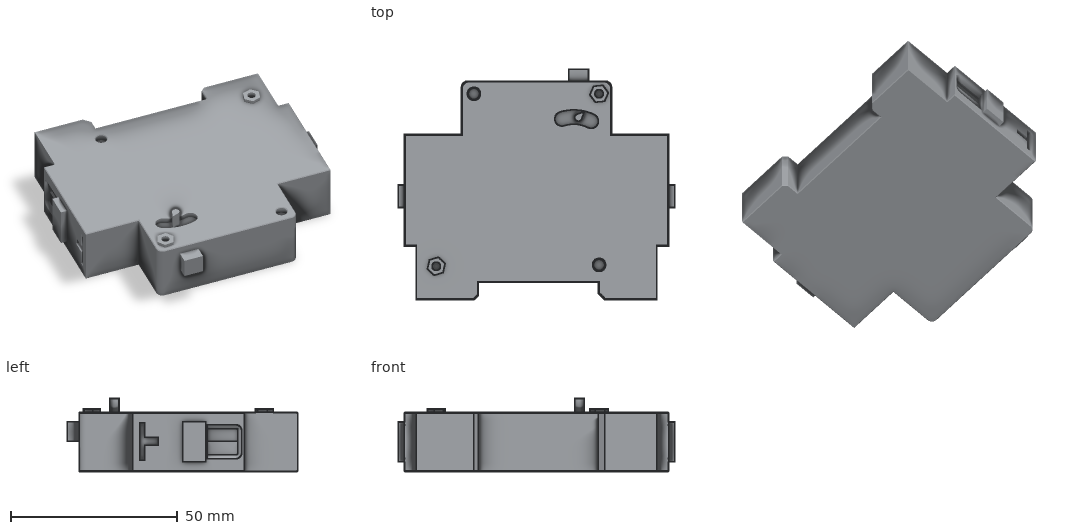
import cadquery as cq
import math

HOUSING_HEIGHT = 17.8
HOUSING_HALF_WIDTH = 39.6
HOUSING_TOP_Y = 65.6
NECK_HALF_WIDTH = 22.5
NECK_CORNER_RADIUS = 2.0
SHOULDER_Y = 49.55
LEG_TOP_Y = 16.1
LEG_HALF_WIDTH = 36.1
RAIL_NOTCH_DEPTH = 5.2
RAIL_NOTCH_LEFT = -17.4
RAIL_NOTCH_RIGHT = 18.5
LEFT_LEG_CHAMFER = 1.3
RIGHT_LEG_CHAMFER = 2.0
EDGE_CHAMFER = 0.25

RIVET_X = 18.75
NECK_RIVET_Y = 61.75
RIVET_CENTERS = [(-RIVET_X, NECK_RIVET_Y), (RIVET_X, 10.45)]
RIVET_HOLE_DIAMETER = 3.4
RIVET_HOLE_DEPTH = 2.1
RIVET_HOLE_CHAMFER = 0.25
NUTS = [((RIVET_X, NECK_RIVET_Y), 6.0), ((-30.05, 10.05), 17.0)]
NUT_ACROSS_CORNERS = 5.6
NUT_HEIGHT = 1.1
NUT_HOLE_DIAMETER = 2.5
NUT_HOLE_DEPTH = 3.3

LEVER_PIVOT = (11.2, 43.2)
LEVER_RADIUS = 11.6
SLOT_WIDTH = 4.3
SLOT_START_ANGLE = 63.5
SLOT_END_ANGLE = 107.8
SLOT_DEPTH = 1.7
LEVER_TOP_Z = 22.0
LEVER_CENTER = (12.5, 54.6)
LEVER_NOSE_RADIUS = 1.1
LEVER_TIP = (14.4, 56.4)

BUTTON_X = 12.6
BUTTON_WIDTH = 6.0
BUTTON_BOTTOM_Z = 9.05
BUTTON_HEIGHT = 6.0
OVERALL_DEPTH = 69.1

OVERALL_LENGTH = 83.0
SHUTTER_Y = (27.6, 34.45)
SHUTTER_Z = (2.9, 14.9)
WINDOW_Y = (16.85, 27.2)
WINDOW_Z = (3.9, 14.0)
WINDOW_BEVEL = 1.2
WINDOW_CORNER_RADIUS = 1.7
WINDOW_STEP_Z = 9.05
WINDOW_STEP_DEPTH = 0.75
WINDOW_LIP_CHAMFER = 0.4
TEE_BAR_Y = (45.9, 47.3)
TEE_BAR_Z = (3.5, 14.7)
TEE_STEM_END_Y = 41.8
TEE_STEM_Z = (8.0, 10.3)
TEE_DEPTH = 2.5


def block(x_range, y_range, z_range):
    """Axis-aligned box between the given limits."""
    size = [high - low for low, high in (x_range, y_range, z_range)]
    corner = (x_range[0], y_range[0], z_range[0])
    return cq.Workplane("XY").box(*size, centered=False).translate(corner)


def make_housing():
    outline = [
        (-LEG_HALF_WIDTH, 0),
        (RAIL_NOTCH_LEFT - LEFT_LEG_CHAMFER, 0),
        (RAIL_NOTCH_LEFT, LEFT_LEG_CHAMFER),
        (RAIL_NOTCH_LEFT, RAIL_NOTCH_DEPTH),
        (RAIL_NOTCH_RIGHT, RAIL_NOTCH_DEPTH),
        (RAIL_NOTCH_RIGHT, RIGHT_LEG_CHAMFER),
        (RAIL_NOTCH_RIGHT + RIGHT_LEG_CHAMFER, 0),
        (LEG_HALF_WIDTH, 0),
        (LEG_HALF_WIDTH, LEG_TOP_Y),
        (HOUSING_HALF_WIDTH, LEG_TOP_Y),
        (HOUSING_HALF_WIDTH, SHOULDER_Y),
        (NECK_HALF_WIDTH, SHOULDER_Y),
        (NECK_HALF_WIDTH, HOUSING_TOP_Y),
        (-NECK_HALF_WIDTH, HOUSING_TOP_Y),
        (-NECK_HALF_WIDTH, SHOULDER_Y),
        (-HOUSING_HALF_WIDTH, SHOULDER_Y),
        (-HOUSING_HALF_WIDTH, LEG_TOP_Y),
        (-LEG_HALF_WIDTH, LEG_TOP_Y),
    ]
    housing = cq.Workplane("XY").polyline(outline).close().extrude(HOUSING_HEIGHT)
    housing = housing.edges("|Z and >Y").fillet(NECK_CORNER_RADIUS)
    rim_edges = housing.faces("<Z or >Z").edges()
    chamfered = rim_edges.filter(lambda edge: abs(abs(edge.Center().x) - LEG_HALF_WIDTH) > EDGE_CHAMFER)
    return chamfered.chamfer(EDGE_CHAMFER)


def cut_rivet_holes(body):
    top = HOUSING_HEIGHT
    for x, y in RIVET_CENTERS:
        hole = (
            cq.Workplane("XY", origin=(x, y, top - RIVET_HOLE_DEPTH))
            .circle(RIVET_HOLE_DIAMETER / 2)
            .extrude(RIVET_HOLE_DEPTH)
        )
        countersink = cq.Solid.makeCone(
            RIVET_HOLE_DIAMETER / 2,
            RIVET_HOLE_DIAMETER / 2 + RIVET_HOLE_CHAMFER,
            RIVET_HOLE_CHAMFER,
            pnt=(x, y, top - RIVET_HOLE_CHAMFER),
        )
        body = body.cut(hole).cut(cq.Workplane(countersink))
    return body


def add_nuts(body):
    for (x, y), turn in NUTS:
        nut = (
            cq.Workplane("XY")
            .polygon(6, NUT_ACROSS_CORNERS)
            .extrude(NUT_HEIGHT)
            .rotate((0, 0, 0), (0, 0, 1), turn)
            .translate((x, y, HOUSING_HEIGHT))
        )
        hole = (
            cq.Workplane("XY", origin=(x, y, HOUSING_HEIGHT + NUT_HEIGHT))
            .circle(NUT_HOLE_DIAMETER / 2)
            .extrude(-NUT_HOLE_DEPTH)
        )
        body = body.union(nut).cut(hole)
    return body


def around_pivot(radius, angle):
    """Point at the given radius and angle (degrees) about the lever pivot."""
    turn = math.radians(angle)
    return (
        LEVER_PIVOT[0] + radius * math.cos(turn),
        LEVER_PIVOT[1] + radius * math.sin(turn),
    )


def make_lever_slot():
    inner = LEVER_RADIUS - SLOT_WIDTH / 2
    outer = LEVER_RADIUS + SLOT_WIDTH / 2
    middle_angle = (SLOT_START_ANGLE + SLOT_END_ANGLE) / 2
    end_reach = math.degrees(2 * math.asin(SLOT_WIDTH / 4 / LEVER_RADIUS))
    return (
        cq.Workplane("XY", origin=(0, 0, HOUSING_HEIGHT - SLOT_DEPTH))
        .moveTo(*around_pivot(outer, SLOT_START_ANGLE))
        .threePointArc(around_pivot(outer, middle_angle), around_pivot(outer, SLOT_END_ANGLE))
        .threePointArc(
            around_pivot(LEVER_RADIUS, SLOT_END_ANGLE + end_reach),
            around_pivot(inner, SLOT_END_ANGLE),
        )
        .threePointArc(around_pivot(inner, middle_angle), around_pivot(inner, SLOT_START_ANGLE))
        .threePointArc(
            around_pivot(LEVER_RADIUS, SLOT_START_ANGLE - end_reach),
            around_pivot(outer, SLOT_START_ANGLE),
        )
        .close()
        .extrude(SLOT_DEPTH)
    )


def make_lever():
    """Teardrop pin: a round nose with tangent flanks meeting at the tip."""
    dx = LEVER_TIP[0] - LEVER_CENTER[0]
    dy = LEVER_TIP[1] - LEVER_CENTER[1]
    tip_direction = math.atan2(dy, dx)
    tangent_offset = math.acos(LEVER_NOSE_RADIUS / math.hypot(dx, dy))

    def on_nose(angle):
        return (
            LEVER_CENTER[0] + LEVER_NOSE_RADIUS * math.cos(angle),
            LEVER_CENTER[1] + LEVER_NOSE_RADIUS * math.sin(angle),
        )

    floor_z = HOUSING_HEIGHT - SLOT_DEPTH
    return (
        cq.Workplane("XY", origin=(0, 0, floor_z))
        .moveTo(*LEVER_TIP)
        .lineTo(*on_nose(tip_direction + tangent_offset))
        .threePointArc(on_nose(tip_direction + math.pi), on_nose(tip_direction - tangent_offset))
        .close()
        .extrude(LEVER_TOP_Z - floor_z)
    )


def make_button():
    return block(
        (BUTTON_X - BUTTON_WIDTH / 2, BUTTON_X + BUTTON_WIDTH / 2),
        (HOUSING_TOP_Y, OVERALL_DEPTH),
        (BUTTON_BOTTOM_Z, BUTTON_BOTTOM_Z + BUTTON_HEIGHT),
    )


def make_cable_window():
    """Window at the -X end: three sloping walls, an upright +Y wall and a stepped floor."""
    face_x = -HOUSING_HALF_WIDTH
    floor_x = face_x + WINDOW_BEVEL
    window_bottom, window_top = WINDOW_Z
    untrimmed_length = WINDOW_Y[1] + WINDOW_BEVEL - WINDOW_Y[0]
    outline = (
        cq.Sketch()
        .rect(untrimmed_length, window_top - window_bottom)
        .vertices("<X")
        .fillet(WINDOW_CORNER_RADIUS)
    )
    center_y = WINDOW_Y[0] + untrimmed_length / 2
    center_z = (window_bottom + window_top) / 2
    window = (
        cq.Workplane("YZ", origin=(face_x, center_y, center_z))
        .placeSketch(outline)
        .extrude(WINDOW_BEVEL, taper=45)
        .intersect(block((face_x, floor_x), WINDOW_Y, WINDOW_Z))
    )
    upper_pocket = block(
        (floor_x, floor_x + WINDOW_STEP_DEPTH),
        (WINDOW_Y[0] + WINDOW_BEVEL, WINDOW_Y[1]),
        (WINDOW_STEP_Z, window_top - WINDOW_BEVEL),
    )
    lip = (
        cq.Workplane("XY", origin=(face_x, WINDOW_Y[1], window_bottom))
        .polyline([(0, 0), (WINDOW_LIP_CHAMFER, 0), (0, WINDOW_LIP_CHAMFER)])
        .close()
        .extrude(window_top - window_bottom)
    )
    return window.union(upper_pocket).union(lip)


def make_tee_slot():
    """T-shaped slot in the -X end, its stem pointing to -Y."""
    depth_range = (-HOUSING_HALF_WIDTH, -HOUSING_HALF_WIDTH + TEE_DEPTH)
    bar = block(depth_range, TEE_BAR_Y, TEE_BAR_Z)
    stem = block(depth_range, (TEE_STEM_END_Y, TEE_BAR_Y[0]), TEE_STEM_Z)
    return bar.union(stem)


def make_shutter():
    """Block standing out of the -X end, beside the +Y edge of the cable window."""
    return block((-OVERALL_LENGTH / 2, -HOUSING_HALF_WIDTH), SHUTTER_Y, SHUTTER_Z)


result = make_housing()
result = cut_rivet_holes(result)
result = add_nuts(result)
result = result.cut(make_lever_slot()).union(make_lever())
result = result.union(make_button())

for recess in (make_cable_window(), make_tee_slot()):
    result = result.cut(recess).cut(recess.mirror("YZ"))

shutter = make_shutter()
result = result.union(shutter).union(shutter.mirror("YZ"))